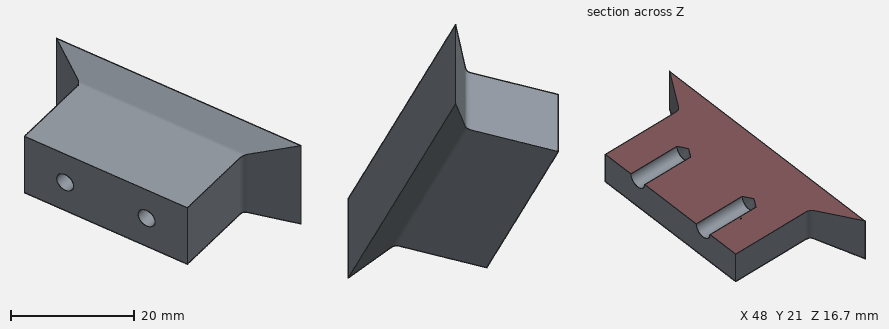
import cadquery as cq
import math

flare_width = 48.0
flare_height = 16.65
total_depth = 21.0

block_width = 31.95
block_height = 12.0
flare_depth = 5.0
block_depth = total_depth - flare_depth
blend_radius = 1.5

hole_diameter = 3.3
hole_depth = 10.0
drill_point_angle = 118.0
hole_spacing = block_width / 2


def make_profile_prism(block_size, flare_size, length):
    """Prism along Z, centred on Z = 0, with the block-and-flare profile in XY.

    The front of the block lies at Y = 0, and the two inner corners where the
    block meets the flare are rounded.
    """
    prism = (
        cq.Workplane("XY")
        .moveTo(-block_size / 2, 0)
        .lineTo(block_size / 2, 0)
        .lineTo(block_size / 2, block_depth)
        .lineTo(flare_size / 2, total_depth)
        .lineTo(-flare_size / 2, total_depth)
        .lineTo(-block_size / 2, block_depth)
        .close()
        .extrude(length / 2, both=True)
    )
    for x in (-block_size / 2, block_size / 2):
        joint_edge = cq.selectors.NearestToPointSelector((x, block_depth, 0))
        prism = prism.edges("|Z").edges(joint_edge).fillet(blend_radius)
    return prism


def make_hole(x):
    """Cutter for one blind hole with a conical drill point, along +Y."""
    radius = hole_diameter / 2
    point_depth = radius / math.tan(math.radians(drill_point_angle / 2))
    return (
        cq.Workplane("XY", origin=(x, 0, 0))
        .lineTo(radius, 0)
        .lineTo(radius, hole_depth)
        .lineTo(0, hole_depth + point_depth)
        .close()
        .revolve(360, (0, 0, 0), (0, 1, 0))
    )


def make_mount():
    """Block and flare blended into one body, with its drilled holes."""
    width_prism = make_profile_prism(block_width, flare_width, 2 * flare_height)
    height_prism = make_profile_prism(block_height, flare_height, 2 * flare_width)
    height_prism = height_prism.rotate((0, 0, 0), (0, 1, 0), 90)
    body = width_prism.intersect(height_prism)
    for x in (-hole_spacing / 2, hole_spacing / 2):
        body = body.cut(make_hole(x))
    return body


mount = make_mount()
result = cq.Compound.makeCompound([mount.solids().val()])